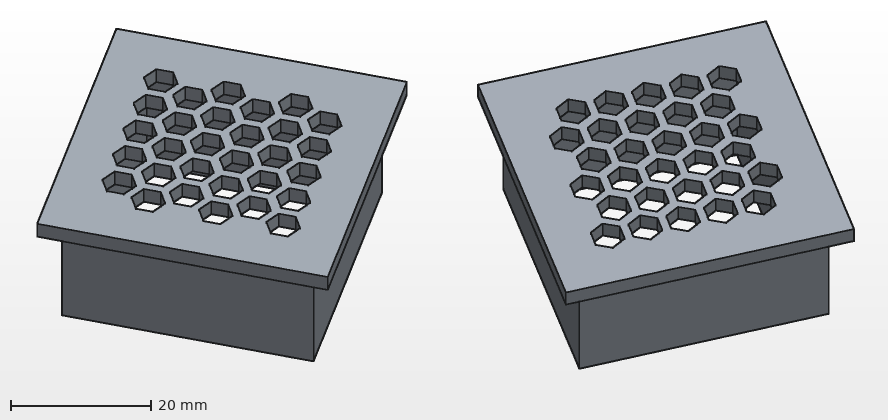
import cadquery as cq

flange_width = 43.0
flange_thickness = 2.5
total_height = 19.5

body_width = 37.25
wall_thickness = 3.35
cavity_width = body_width - 2 * wall_thickness
body_height = total_height - flange_thickness

hexagon_sides = 6
hexagon_across_corners = 5.0
column_count = 6
holes_per_column = 5
column_pitch = hexagon_across_corners
row_pitch = 5.65
odd_column_drop = column_pitch / 2


def square_prism(width, bottom, height):
    """Square prism centred on the Z axis."""
    return cq.Workplane("XY").workplane(offset=bottom).rect(width, width).extrude(height)


def grille_centres():
    """Hole centres, with every second column dropped and the whole pattern centred."""
    left = -(column_count - 1) * column_pitch / 2
    top = ((holes_per_column - 1) * row_pitch + odd_column_drop) / 2
    centres = []
    for column in range(column_count):
        drop = odd_column_drop if column % 2 else 0
        for row in range(holes_per_column):
            centres.append((left + column * column_pitch, top - drop - row * row_pitch))
    return centres


flange = square_prism(flange_width, body_height, flange_thickness)
body = square_prism(body_width, 0, body_height)
cavity = square_prism(cavity_width, 0, body_height)

grille_holes = (
    cq.Workplane("XY")
    .workplane(offset=body_height)
    .pushPoints(grille_centres())
    .polygon(hexagon_sides, hexagon_across_corners)
    .extrude(flange_thickness)
)

result = flange.union(body).cut(cavity).cut(grille_holes)